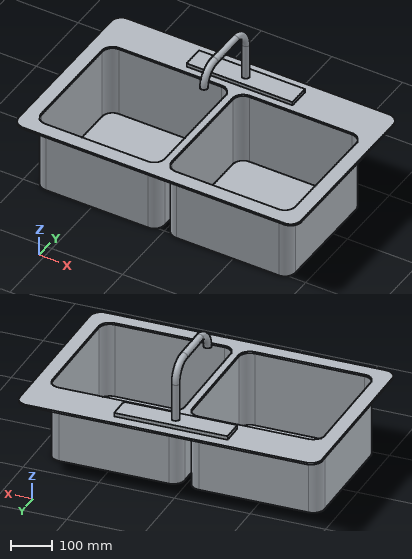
import cadquery as cq

pipe_diameter = 20.0
plate_length = 300.0
plate_width = 60.0
plate_thickness = pipe_diameter / 2
plate_back_margin = plate_width / 2
riser_height = 100.0
reach_length = 100.0
bend_radius = riser_height / 2

deck_length = 800.0
deck_width = 500.0
deck_thickness = plate_thickness / 2
corner_radius = 1.5 * pipe_diameter

bowl_margin = 40.0
bowl_gap = 20.0
bowl_side = (deck_length - 2 * bowl_margin - bowl_gap) / 2
bowl_depth = 200.0
wall_thickness = 0.1
bowl_spacing = bowl_side + bowl_gap
bowl_y = -deck_width / 2 + bowl_margin + bowl_side / 2

faucet_y = deck_width / 2 - plate_back_margin - plate_width / 2


def rounded_block(length, width, height, radius, x, y, bottom):
    """Block with rounded vertical edges, centred at x, y and standing on bottom."""
    block = cq.Workplane("XY").box(length, width, height, centered=(True, True, False))
    return block.edges("|Z").fillet(radius).translate((x, y, bottom))


def make_sink():
    """Deck plate with two square bowls fused to its underside."""
    sink = rounded_block(deck_length, deck_width, deck_thickness, corner_radius, 0, 0, 0)
    opening_side = bowl_side - 2 * wall_thickness
    opening_radius = corner_radius - wall_thickness
    cavity_depth = bowl_depth - wall_thickness
    for side in (-1, 1):
        bowl_x = side * bowl_spacing / 2
        shell = rounded_block(
            bowl_side, bowl_side, bowl_depth, corner_radius, bowl_x, bowl_y, -bowl_depth
        )
        cavity = rounded_block(
            opening_side, opening_side, cavity_depth + deck_thickness, opening_radius,
            bowl_x, bowl_y, -cavity_depth,
        )
        sink = sink.union(shell).cut(cavity)
    return sink


def make_faucet():
    """Mounting plate with a round spout that rises, reaches forward and turns down."""
    plate = (
        cq.Workplane("XY", origin=(0, faucet_y, deck_thickness))
        .box(plate_length, plate_width, plate_thickness, centered=(True, True, False))
    )
    plate_top = deck_thickness + plate_thickness
    spout_path = (
        cq.Workplane("YZ", origin=(0, faucet_y, plate_top))
        .moveTo(0, 0)
        .lineTo(0, riser_height)
        .tangentArcPoint((-bend_radius, bend_radius))
        .lineTo(-bend_radius - reach_length, riser_height + bend_radius)
        .tangentArcPoint((-bend_radius, -bend_radius))
    )
    spout = (
        cq.Workplane("XY", origin=(0, faucet_y, plate_top))
        .circle(pipe_diameter / 2)
        .sweep(spout_path)
    )
    return plate.union(spout)


sink = make_sink()
faucet = make_faucet()

result = cq.Compound.makeCompound([sink.val(), faucet.val()])